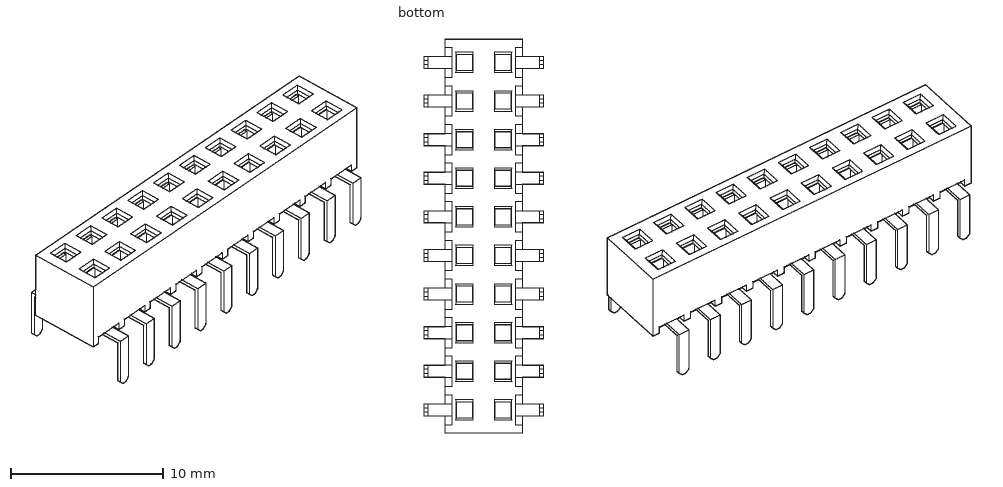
import cadquery as cq

body_width = 5.1
body_length = 25.9
body_height = 5.0

row_count = 10
pitch = 2.55
column_x = pitch / 2

mouth_size = 1.42
throat_size = 1.04
mouth_depth = 0.2
cavity_width = 1.15
cavity_length = 1.35
cavity_depth = 0.52
mouth_bottom = body_height - mouth_depth
cavity_top = body_height - cavity_depth

strip_thickness = 0.25
lead_width = 0.8
lead_span = 7.87
leg_drop = 3.1
tip_chamfer = 0.25
post_depth = 0.8
post_top = body_height - post_depth
post_inner_x = column_x + cavity_width / 2
post_outer_x = post_inner_x + strip_thickness

notch_width = 2.0
notch_height = 0.55
notch_depth = body_width / 2 - post_outer_x
arm_bottom = notch_height - strip_thickness


def box(x_low, x_high, y_size, z_low, z_high):
    """Box between two X and two Z positions, centred on y = 0."""
    return (
        cq.Workplane("XY", origin=(x_low, 0, z_low))
        .box(x_high - x_low, y_size, z_high - z_low, centered=(False, True, False))
    )


def socket():
    """Solid to cut away for one socket, with the slot on its outer side for the post."""
    mouth = (
        cq.Workplane("XY", origin=(column_x, 0, body_height))
        .rect(mouth_size, mouth_size)
        .workplane(offset=-mouth_depth)
        .rect(throat_size, throat_size)
        .loft(ruled=True)
    )
    throat = box(column_x - throat_size / 2, column_x + throat_size / 2, throat_size, 0, mouth_bottom)
    cavity = box(column_x - cavity_width / 2, post_inner_x, cavity_length, 0, cavity_top)
    slot = box(post_inner_x, post_outer_x, cavity_length, notch_height, cavity_top)
    return mouth.union(throat).union(cavity).union(slot)


def notch():
    """Solid to cut away from the lower edge of one long side."""
    return box(body_width / 2 - notch_depth, body_width / 2, notch_width, 0, notch_height)


def contact():
    """Post up in the slot, arm from under it out through the notch, leg down to a chamfered tip."""
    leg_outer_x = lead_span / 2
    leg_inner_x = leg_outer_x - strip_thickness
    post = box(post_inner_x, post_outer_x, cavity_length, notch_height, post_top)
    arm = box(post_inner_x, leg_outer_x, lead_width, arm_bottom, notch_height)
    leg = (
        box(leg_inner_x, leg_outer_x, lead_width, -leg_drop, notch_height)
        .edges("|X and <Z")
        .chamfer(tip_chamfer)
    )
    return post.union(arm).union(leg)


def at_every_socket(shape):
    """Copies of a +X column shape for all rows, turned half a turn for the -X column."""
    copies = []
    for row in range(row_count):
        y = (row - (row_count - 1) / 2) * pitch
        for turn in (0, 180):
            turned = shape.rotate((0, 0, 0), (0, 0, 1), turn)
            copies.append(turned.translate((0, y, 0)).val())
    return cq.Workplane(cq.Compound.makeCompound(copies))


body = cq.Workplane("XY").box(body_width, body_length, body_height, centered=(True, True, False))

result = (
    body
    .cut(at_every_socket(socket()))
    .cut(at_every_socket(notch()))
    .union(at_every_socket(contact()))
    .solids()
)